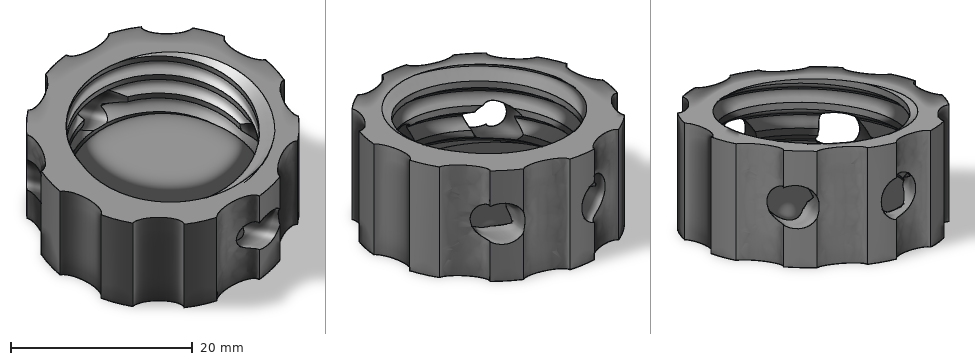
import cadquery as cq
import math

outer_radius = 15.0
height = 13.5
floor_thickness = 4.0

scallop_count = 10
scallop_phase = -4.1
scallop_centre_radius = 14.93
scallop_radial_half_axis = 1.155
scallop_rim_half_axis = 2.89
scallop_tilt = 3.0

crest_radius = 21.25 / 2
pitch = 3.0
groove_half_width = 1.1
root_half_width = 0.1
flank_angle = math.radians(30)
groove_depth = (groove_half_width - root_half_width) / math.tan(flank_angle)
groove_turns = 5
cutter_overlap = 0.2

hole_diameter = 5.0
hole_height = 7.0
hole_offset = 6.0


def scallop_cutter(angle):
    """Vertical elliptical cutter centred at an angle in degrees from +X."""
    return (
        cq.Workplane("XY")
        .ellipse(scallop_radial_half_axis, scallop_rim_half_axis)
        .extrude(height)
        .rotate((0, 0, 0), (0, 0, 1), scallop_tilt)
        .translate((scallop_centre_radius, 0, 0))
        .rotate((0, 0, 0), (0, 0, 1), angle)
    )


def thread_groove():
    """Helical groove whose root crosses the open end directly above +X."""
    inner_radius = crest_radius - cutter_overlap
    inner_half_width = groove_half_width + cutter_overlap * math.tan(flank_angle)
    root_radius = crest_radius + groove_depth
    path = cq.Wire.makeHelix(pitch, groove_turns * pitch, crest_radius)
    groove_start = height - (groove_turns - 1) * pitch
    return (
        cq.Workplane("XZ")
        .moveTo(inner_radius, -inner_half_width)
        .lineTo(root_radius, -root_half_width)
        .lineTo(root_radius, root_half_width)
        .lineTo(inner_radius, inner_half_width)
        .close()
        .sweep(cq.Workplane(path), isFrenet=True)
        .translate((0, 0, groove_start))
    )


def threaded_bore():
    """Bore with its thread, trimmed flat at the floor and at the open end."""
    core = cq.Workplane("XY").circle(crest_radius).extrude(height + 2 * pitch)
    room = (
        cq.Workplane("XY", origin=(0, 0, floor_thickness))
        .circle(outer_radius)
        .extrude(height - floor_thickness)
    )
    return core.union(thread_groove()).intersect(room)


def cross_holes():
    """Two parallel holes through the whole cap above the floor."""
    return (
        cq.Workplane("YZ", origin=(-outer_radius, 0, hole_height))
        .pushPoints([(-hole_offset, 0), (hole_offset, 0)])
        .circle(hole_diameter / 2)
        .extrude(2 * outer_radius)
    )


result = cq.Workplane("XY").circle(outer_radius).extrude(height)
for index in range(scallop_count):
    result = result.cut(scallop_cutter(scallop_phase + index * 360 / scallop_count))
result = result.cut(threaded_bore()).cut(cross_holes())